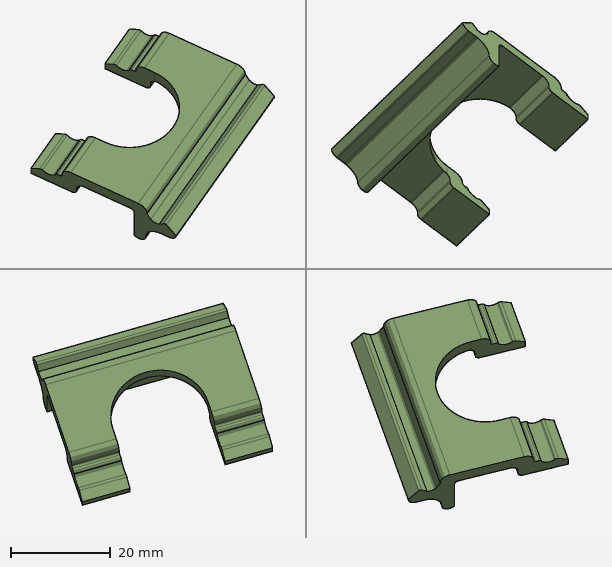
import cadquery as cq
import math

length = 40.0
width = 33.5
height = 11.8

plate_thickness = 2.85
plate_left = 7.2
plate_right = 26.8
plate_round = 2.0

shelf_bottom = -6.4
shelf_lip_top = -4.7
shelf_right = 10.5
shelf_outer_round = 1.1
shelf_inner_round = 1.75
ridge_left = 2.05
ridge_left_z = -3.5
ridge_crest = -3.45
ridge_right = 2.7
step_left = 5.65
step_top = -2.7
step_round = 0.5

left_groove_x = 3.95
left_groove_radius = 2.0
right_groove_x = 28.9
right_groove_radius = 1.7
right_groove_start = 27.7
right_slope_top = -2.15
groove_bottom = -3.95
left_groove_z = groove_bottom + left_groove_radius
right_groove_z = groove_bottom + right_groove_radius

leg_left = 23.8
leg_right = 26.5
leg_inner_round = 0.8
leg_tip_radius = 1.5
leg_fillet = 3.5

hook_bottom = -6.7
hook_nose_radius = 1.65
hook_tip_x = 31.0
hook_tip_top = -2.75
hook_tip_radius = 0.45
hook_groove_edge = 29.6

slot_radius = 10.0
slot_right = 21.45


def on_circle(x_centre, z_centre, radius, degrees):
    """Point on a circle, at an angle measured from +X toward +Z."""
    angle = math.radians(degrees)
    return (x_centre + radius * math.cos(angle), z_centre + radius * math.sin(angle))


def lower_point(x_centre, z_centre, radius, x):
    """Point on the lower half of a circle at the given X."""
    return (x, z_centre - math.sqrt(radius**2 - (x - x_centre) ** 2))


def add_arc(sketch, x_centre, z_centre, radius, middle, end):
    """Add an arc through its middle angle to its end angle."""
    return sketch.threePointArc(
        on_circle(x_centre, z_centre, radius, middle),
        on_circle(x_centre, z_centre, radius, end),
    )


def make_profile():
    left_groove = (left_groove_x, left_groove_z, left_groove_radius)
    right_groove = (right_groove_x, right_groove_z, right_groove_radius)
    nose_x = width - hook_nose_radius
    nose_z = hook_bottom + hook_nose_radius
    nose_top = (width, nose_z)
    hook_tip = (hook_tip_x, hook_tip_top - hook_tip_radius, hook_tip_radius)
    tip_x = leg_right - leg_tip_radius
    tip_z = leg_tip_radius - height

    sketch = cq.Workplane("XZ").moveTo(0, shelf_bottom).lineTo(0, shelf_lip_top)
    sketch = sketch.lineTo(ridge_left, ridge_left_z)
    sketch = sketch.threePointArc(
        ((ridge_left + ridge_right) / 2, ridge_crest), lower_point(*left_groove, ridge_right)
    )
    sketch = sketch.threePointArc(
        (left_groove_x, groove_bottom), lower_point(*left_groove, step_left)
    )
    step_edge = (step_left + step_round, step_top - step_round, step_round)
    sketch = sketch.lineTo(*on_circle(*step_edge, 180))
    sketch = add_arc(sketch, *step_edge, 135, 90)
    sketch = sketch.lineTo(plate_left - step_round, step_top)
    sketch = add_arc(sketch, plate_left - step_round, step_top + step_round, step_round, -45, 0)

    sketch = sketch.lineTo(plate_left, -plate_round)
    sketch = add_arc(sketch, plate_left + plate_round, -plate_round, plate_round, 135, 90)
    sketch = sketch.lineTo(plate_right - plate_round, 0)
    sketch = add_arc(sketch, plate_right - plate_round, -plate_round, plate_round, 45, 0)

    sketch = sketch.lineTo(plate_right, right_slope_top)
    sketch = sketch.lineTo(*lower_point(*right_groove, right_groove_start))
    sketch = sketch.threePointArc(
        (right_groove_x, groove_bottom), lower_point(*right_groove, hook_groove_edge)
    )
    sketch = sketch.lineTo(*on_circle(*hook_tip, 135))
    sketch = add_arc(sketch, *hook_tip, 90, 45)
    sketch = sketch.lineTo(*nose_top)
    sketch = add_arc(sketch, nose_x, nose_z, hook_nose_radius, -45, -90)

    fillet_x = leg_right + leg_fillet
    fillet_z = hook_bottom - leg_fillet
    sketch = sketch.lineTo(fillet_x, hook_bottom)
    sketch = add_arc(sketch, fillet_x, fillet_z, leg_fillet, 135, 180)
    sketch = sketch.lineTo(leg_right, tip_z)
    sketch = sketch.threePointArc(
        (tip_x, -height), lower_point(tip_x, tip_z, leg_tip_radius, leg_left)
    )
    inner_z = -plate_thickness - leg_inner_round
    sketch = sketch.lineTo(leg_left, inner_z)
    sketch = add_arc(sketch, leg_left - leg_inner_round, inner_z, leg_inner_round, 45, 90)

    corner_x = shelf_right + shelf_inner_round
    corner_z = -plate_thickness - shelf_inner_round
    sketch = sketch.lineTo(corner_x, -plate_thickness)
    sketch = add_arc(sketch, corner_x, corner_z, shelf_inner_round, 135, 180)
    outer_x = shelf_right - shelf_outer_round
    outer_z = shelf_bottom + shelf_outer_round
    sketch = sketch.lineTo(shelf_right, outer_z)
    sketch = add_arc(sketch, outer_x, outer_z, shelf_outer_round, -45, -90)
    return sketch.close()


def make_slot():
    """Round-ended slot, open at the left edge."""
    centre_x = slot_right - slot_radius
    return (
        cq.Workplane("XY")
        .moveTo(0, -slot_radius)
        .lineTo(centre_x, -slot_radius)
        .threePointArc((slot_right, 0), (centre_x, slot_radius))
        .lineTo(0, slot_radius)
        .close()
        .extrude(-height)
    )


body = make_profile().extrude(length / 2, both=True)
result = body.cut(make_slot())